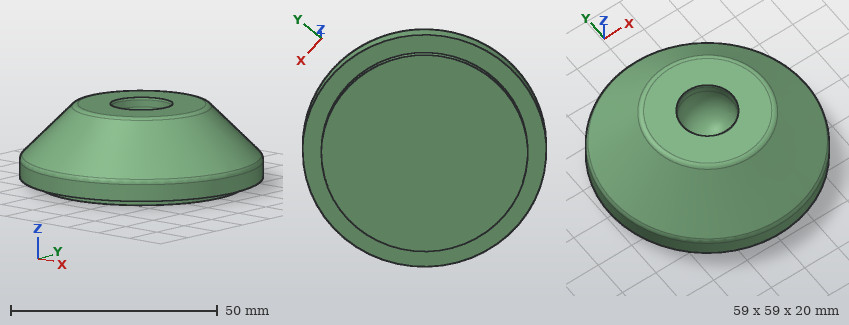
import cadquery as cq
import math

rim_radius = 29.5
total_height = 20.0
spigot_diameter = 50.0
spigot_height = 1.95
top_corner_radius = 16.35
cone_angle = 45.0
top_fillet = 2.0
rim_fillet = 1.7
socket_radius = 7.45
socket_center_depth = 2.3
lead_in_width = 0.1
lead_in_depth = 0.55

spigot_radius = spigot_diameter / 2
cone_drop = (rim_radius - top_corner_radius) * math.tan(math.radians(cone_angle))
rim_top = total_height - cone_drop
socket_center = total_height - socket_center_depth


def make_body():
    """Conical cap with a short cylindrical rim and rounded cone edges."""
    profile = (
        cq.Workplane("XZ")
        .moveTo(0, spigot_height)
        .lineTo(rim_radius, spigot_height)
        .lineTo(rim_radius, rim_top)
        .lineTo(top_corner_radius, total_height)
        .lineTo(0, total_height)
        .close()
    )
    cap = profile.revolve(360, (0, 0, 0), (0, 1, 0))
    cap = cap.faces("%CONE").edges("<Z").fillet(rim_fillet)
    return cap.faces(">Z").edges().fillet(top_fillet)


def make_spigot():
    """Locating disc under the cap."""
    return cq.Workplane("XY").circle(spigot_radius).extrude(spigot_height)


def make_socket():
    """Round socket: conical lead-in, straight wall and hemispherical bottom."""
    arc_reach = socket_radius * math.sqrt(0.5)
    profile = (
        cq.Workplane("XZ")
        .moveTo(0, total_height)
        .lineTo(socket_radius + lead_in_width, total_height)
        .lineTo(socket_radius, total_height - lead_in_depth)
        .lineTo(socket_radius, socket_center)
        .threePointArc((arc_reach, socket_center - arc_reach), (0, socket_center - socket_radius))
        .close()
    )
    return profile.revolve(360, (0, 0, 0), (0, 1, 0))


result = make_body().union(make_spigot()).cut(make_socket())